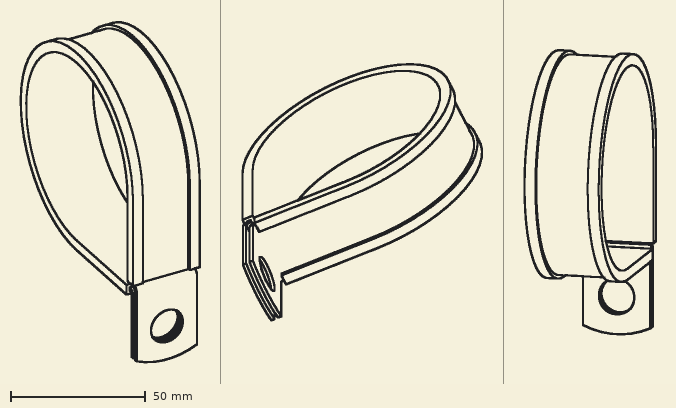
import cadquery as cq
import math

loop_radius = 42.3
cushion_thickness = 4.2
cushion_width = 28.5
lip_width = 4.2
band_thickness = 1.4
groove_depth = 1.4
upright_end_z = -36.2
foot_end_x = 37.4

tab_width = 25.7
tab_bottom_z = -71.5
tab_crown = 2.8
inner_tab_right_x = 40.0
tab_gap = 1.4
hole_diameter = 13.5
hole_z = -57.1

foot_bend_radius = 2.3
jog_start_z = -37.1

band_radius = loop_radius - groove_depth
band_inner_radius = band_radius - band_thickness
outer_tab_left_x = inner_tab_right_x + tab_gap
outer_tab_right_x = outer_tab_left_x + band_thickness


def loop_area(radius):
    """Three-quarter disc with tangent sides, squared off at the lower right."""
    top_left = radius * math.sqrt(0.5)
    return (
        cq.Workplane("XZ")
        .moveTo(radius, 0)
        .threePointArc((-top_left, top_left), (0, -radius))
        .lineTo(radius, -radius)
        .close()
    )


def loop_solid(radius, width):
    return loop_area(radius).extrude(width / 2, both=True)


def make_cushion():
    """Loop strip with a wide outer groove, open at the lower right corner."""
    inner_radius = loop_radius - cushion_thickness
    strip = loop_solid(loop_radius, cushion_width)
    strip = strip.cut(loop_solid(inner_radius, cushion_width))
    groove_width = cushion_width - 2 * lip_width
    groove = loop_solid(loop_radius, groove_width).cut(loop_solid(band_radius, groove_width))
    upright_opening = (
        cq.Workplane("XY")
        .box(loop_radius, cushion_width, loop_radius, centered=(False, True, False))
        .translate((foot_end_x, 0, upright_end_z - loop_radius))
    )
    return strip.cut(groove).cut(upright_opening)


def make_foot_tab():
    """Inner tab, bent down from the end of the horizontal foot."""
    inner_bend = foot_bend_radius - band_thickness
    bend_x = inner_tab_right_x - foot_bend_radius
    bend_z = -band_inner_radius - foot_bend_radius
    diagonal = math.sqrt(0.5)
    return (
        cq.Workplane("XZ")
        .moveTo(foot_end_x - band_thickness, -band_inner_radius)
        .lineTo(bend_x, -band_inner_radius)
        .threePointArc(
            (bend_x + foot_bend_radius * diagonal, bend_z + foot_bend_radius * diagonal),
            (inner_tab_right_x, bend_z),
        )
        .lineTo(inner_tab_right_x, tab_bottom_z)
        .lineTo(inner_tab_right_x - band_thickness, tab_bottom_z)
        .lineTo(inner_tab_right_x - band_thickness, bend_z)
        .threePointArc(
            (bend_x + inner_bend * diagonal, bend_z + inner_bend * diagonal),
            (bend_x, -band_radius),
        )
        .lineTo(foot_end_x - band_thickness, -band_radius)
        .close()
        .extrude(tab_width / 2, both=True)
    )


def make_upright_tab():
    """Outer tab, set outward from the upright by a 45 degree jog."""
    jog_end_z = jog_start_z - (outer_tab_left_x - band_inner_radius)
    corner_shift = band_thickness * math.tan(math.radians(22.5))
    top_z = upright_end_z + band_thickness
    tab = (
        cq.Workplane("XZ")
        .polyline(
            [
                (band_inner_radius, top_z),
                (band_radius, top_z),
                (band_radius, jog_start_z + corner_shift),
                (outer_tab_right_x, jog_end_z + corner_shift),
                (outer_tab_right_x, tab_bottom_z),
                (outer_tab_left_x, tab_bottom_z),
                (outer_tab_left_x, jog_end_z),
                (band_inner_radius, jog_start_z),
            ]
        )
        .close()
        .extrude(tab_width / 2, both=True)
    )
    outer_corner = (outer_tab_right_x, 0, jog_end_z + corner_shift)
    return tab.edges(cq.selectors.NearestToPointSelector(outer_corner)).fillet(band_thickness)


def make_tab_outline():
    """Tab face with a crowned bottom edge and the bolt hole, as a cutting mask."""
    half_width = tab_width / 2
    outline = (
        cq.Workplane("YZ")
        .moveTo(-half_width, 0)
        .lineTo(-half_width, tab_bottom_z + tab_crown)
        .threePointArc((0, tab_bottom_z), (half_width, tab_bottom_z + tab_crown))
        .lineTo(half_width, 0)
        .close()
        .extrude(outer_tab_right_x)
    )
    hole = (
        cq.Workplane("YZ")
        .center(0, hole_z)
        .circle(hole_diameter / 2)
        .extrude(outer_tab_right_x)
    )
    return outline.cut(hole)


tab_outline = make_tab_outline()
result = make_cushion()
for tab in (make_foot_tab(), make_upright_tab()):
    result = result.union(tab.intersect(tab_outline))